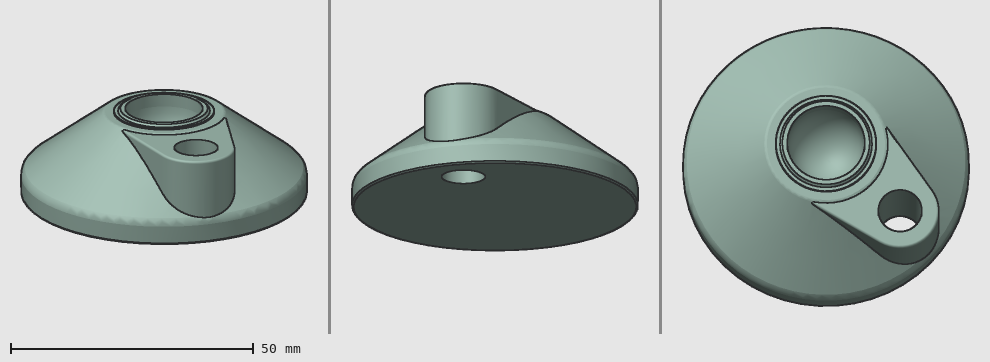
import cadquery as cq
import math

body_radius = 29.5
rim_height = 5.0
body_height = 18.0
top_face_radius = 12.5
shoulder_fillet = 2.0
top_edge_fillet = 1.0
base_edge_chamfer = 0.35

step_radius = 10.4
step_height = 0.2
step_chamfer = 0.1
collar_base_radius = 9.5
collar_top_radius = 9.0
collar_height = 0.5
seat_height = body_height + step_height + collar_height

socket_radius = 8.0
socket_wall_depth = 2.7

lug_center_x = 21.0
lug_end_radius = 8.0
lug_root_radius = top_face_radius
lug_height = 17.8
lug_top_fillet = 0.5
lug_hole_diameter = 9.0


def make_body():
    """Cylindrical rim carrying a cone, with rounded shoulder and top edge."""
    profile = (
        cq.Workplane("XZ")
        .lineTo(body_radius, 0)
        .lineTo(body_radius, rim_height)
        .lineTo(top_face_radius, body_height)
        .lineTo(0, body_height)
        .close()
    )
    body = profile.revolve(360, (0, 0, 0), (0, 1, 0))
    shoulder_point = (0, body_radius, rim_height)
    body = body.edges(cq.NearestToPointSelector(shoulder_point)).fillet(shoulder_fillet)
    body = body.faces(">Z").edges().fillet(top_edge_fillet)
    return body.faces("<Z").edges().chamfer(base_edge_chamfer)


def make_seat():
    """Low step with a softened edge, carrying a collar with a sloping side."""
    step = (
        cq.Workplane("XY")
        .workplane(offset=body_height)
        .circle(step_radius)
        .extrude(step_height)
        .faces(">Z")
        .edges()
        .chamfer(step_chamfer)
    )
    collar_profile = (
        cq.Workplane("XZ")
        .moveTo(0, body_height + step_height)
        .lineTo(collar_base_radius, body_height + step_height)
        .lineTo(collar_top_radius, seat_height)
        .lineTo(0, seat_height)
        .close()
    )
    return step.union(collar_profile.revolve(360, (0, 0, 0), (0, 1, 0)))


def make_lug():
    """Plate whose straight sides are tangent to a root circle on the axis and an end circle."""
    sin_taper = (lug_root_radius - lug_end_radius) / lug_center_x
    cos_taper = math.sqrt(1 - sin_taper**2)
    root_x = lug_root_radius * sin_taper
    root_y = lug_root_radius * cos_taper
    end_x = lug_center_x + lug_end_radius * sin_taper
    end_y = lug_end_radius * cos_taper
    outline = (
        cq.Workplane("XY")
        .moveTo(root_x, -root_y)
        .lineTo(end_x, -end_y)
        .threePointArc((lug_center_x + lug_end_radius, 0), (end_x, end_y))
        .lineTo(root_x, root_y)
        .threePointArc((-lug_root_radius, 0), (root_x, -root_y))
        .close()
    )
    lug = outline.extrude(lug_height)
    return lug.faces(">Z").edges().fillet(lug_top_fillet)


def make_socket():
    """Cutter for the socket: a straight wall ending in a hemisphere."""
    floor_edge_z = seat_height - socket_wall_depth
    wall = (
        cq.Workplane("XY")
        .workplane(offset=floor_edge_z)
        .circle(socket_radius)
        .extrude(socket_wall_depth)
    )
    floor = cq.Workplane("XY").sphere(socket_radius).translate((0, 0, floor_edge_z))
    return wall.union(floor)


def make_lug_hole():
    """Cutter for the hole that runs through the lug and the body below it."""
    return cq.Workplane("XY").center(lug_center_x, 0).circle(lug_hole_diameter / 2).extrude(seat_height)


result = make_body().union(make_lug()).union(make_seat()).cut(make_socket()).cut(make_lug_hole())